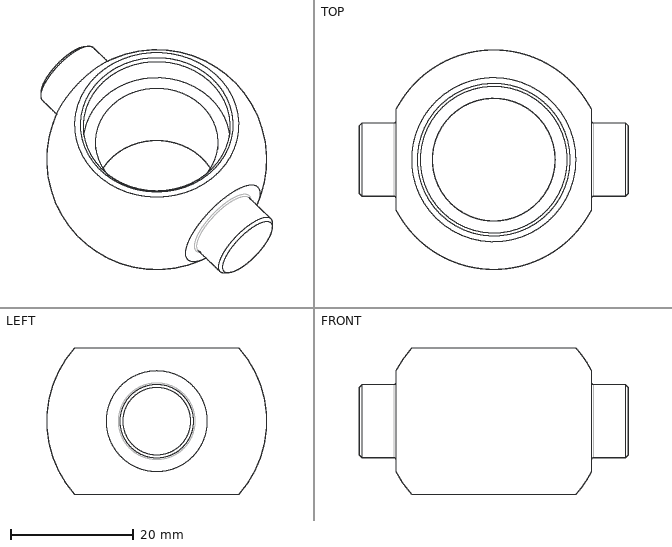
import cadquery as cq

pin_span = 44.0
ball_diameter = 36.0
body_height = 24.0
flat_span = 32.0

pin_diameter = 12.0
tip_chamfer = 0.5
root_fillet = 0.25

bore_diameter = 20.0
seat_diameter = 24.0
seat_depth = 6.0
mouth_chamfer = 0.5


def truncated_ball():
    """Ball cut flat at the top, the bottom and both pin sides."""
    ball = cq.Workplane("XY").sphere(ball_diameter / 2)
    envelope = cq.Workplane("XY").box(flat_span, ball_diameter, body_height)
    return ball.intersect(envelope)


def pins():
    """Both pins as one revolved bar along X, filleted into the side flats."""
    tip = pin_span / 2
    flat = flat_span / 2
    pin_radius = pin_diameter / 2
    half = (
        cq.Workplane("XY")
        .lineTo(0, pin_radius + root_fillet)
        .lineTo(flat, pin_radius + root_fillet)
        .radiusArc((flat + root_fillet, pin_radius), -root_fillet)
        .lineTo(tip - tip_chamfer, pin_radius)
        .lineTo(tip, pin_radius - tip_chamfer)
        .lineTo(tip, 0)
        .close()
        .revolve(360, (0, 0), (1, 0))
    )
    return half.union(half.mirror("YZ"))


def stepped_bore():
    """Through bore with a wider, chamfered seat open at the top."""
    top = body_height / 2
    seat_radius = seat_diameter / 2
    bore_radius = bore_diameter / 2
    profile = [
        (0, -top),
        (bore_radius, -top),
        (bore_radius, top - seat_depth),
        (seat_radius, top - seat_depth),
        (seat_radius, top - mouth_chamfer),
        (seat_radius + mouth_chamfer, top),
        (0, top),
    ]
    return cq.Workplane("XZ").polyline(profile).close().revolve(360, (0, 0), (0, 1))


result = truncated_ball().union(pins()).cut(stepped_bore())